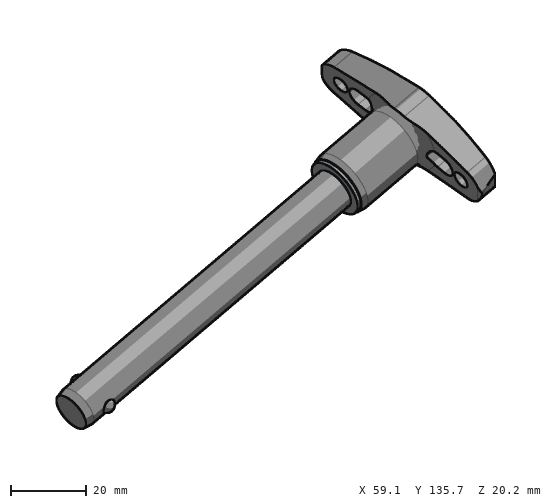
import cadquery as cq
import math

TOTAL_LENGTH = 135.7
GRIP_END_TO_BACK = 34.8
BACK_Y = GRIP_END_TO_BACK
TIP_Y = BACK_Y - TOTAL_LENGTH

HANDLE_LENGTH = 59.1
HANDLE_WIDTH = 20.16
END_RADIUS = 6.0
MIDDLE_RADIUS = 11.0
FLANK_ANGLE = math.radians(10)

CENTRE_THICKNESS = 9.1
BACK_LENGTHWISE_RADIUS = 132.0
BACK_CROSSWISE_RADIUS = 98.0
FRONT_HOLLOW_RADIUS = 650.0
END_TAPER_ANGLE = math.radians(7.5)
TIP_CORNER_RADIUS = 1.0
TIP_CORNER_OVERHANG = 0.16

HOLE_X = 22.2
HOLE_DIAMETER = 4.9
SLOT_X = 14.65
SLOT_LENGTH = 8.9
SLOT_WIDTH = 6.2

GRIP_RADIUS = 9.2
FLARE_RADIUS = 3.3
COLLAR_RADIUS = 8.5
COLLAR_LENGTH = 1.2
TAPER_LENGTH = 2.0
TAPER_END_RADIUS = 8.8

SHANK_RADIUS = 6.0
TIP_RADIUS = 5.5
TIP_TAPER_LENGTH = 2.5
BALL_RADIUS = 2.3
BALL_REACH = 7.3
BALL_TO_TIP = 8.3

HALF_LENGTH = HANDLE_LENGTH / 2
HALF_WIDTH = HANDLE_WIDTH / 2
FRONT_Y = BACK_Y - CENTRE_THICKNESS
TAPER_TOP_Y = COLLAR_LENGTH + TAPER_LENGTH


def outline_prism(y_start, y_end):
    """Lozenge outline with rounded middle and ends, extruded along Y."""
    sine = math.sin(FLANK_ANGLE)
    cosine = math.cos(FLANK_ANGLE)
    middle_x = MIDDLE_RADIUS * sine
    middle_z = HALF_WIDTH - MIDDLE_RADIUS * (1 - cosine)
    end_x = HALF_LENGTH - END_RADIUS * (1 - sine)
    end_z = middle_z - (end_x - middle_x) * math.tan(FLANK_ANGLE)
    outline = (
        cq.Workplane("XZ", origin=(0, y_end, 0))
        .moveTo(-middle_x, middle_z)
        .threePointArc((0, HALF_WIDTH), (middle_x, middle_z))
        .lineTo(end_x, end_z)
        .threePointArc((HALF_LENGTH, 0), (end_x, -end_z))
        .lineTo(middle_x, -middle_z)
        .threePointArc((0, -HALF_WIDTH), (-middle_x, -middle_z))
        .lineTo(-end_x, -end_z)
        .threePointArc((-HALF_LENGTH, 0), (-end_x, end_z))
        .close()
    )
    return outline.extrude(y_end - y_start)


def arc_drop(radius, x):
    """Distance an arc of the given radius falls away from its middle at x."""
    return radius - math.sqrt(radius**2 - x**2)


def thickness_slab():
    """Block with a slightly hollow front and leaning ends, extruded along Z."""
    front_x = HALF_LENGTH + TIP_CORNER_OVERHANG
    front_end_y = FRONT_Y - arc_drop(FRONT_HOLLOW_RADIUS, front_x)
    back_x = front_x - (BACK_Y - front_end_y) * math.tan(END_TAPER_ANGLE)
    block = (
        cq.Workplane("XY")
        .moveTo(-front_x, front_end_y)
        .threePointArc((0, FRONT_Y), (front_x, front_end_y))
        .lineTo(back_x, BACK_Y)
        .lineTo(-back_x, BACK_Y)
        .close()
        .extrude(HANDLE_WIDTH, both=True)
    )
    return block.edges("|Z and <Y").fillet(TIP_CORNER_RADIUS)


def back_crown():
    """Barrel-shaped solid whose +Y side is the doubly curved back of the handle."""
    axis_y = BACK_Y - BACK_CROSSWISE_RADIUS
    end_y = BACK_Y - arc_drop(BACK_LENGTHWISE_RADIUS, HANDLE_LENGTH)
    return (
        cq.Workplane("XY")
        .moveTo(-HANDLE_LENGTH, axis_y)
        .lineTo(-HANDLE_LENGTH, end_y)
        .threePointArc((0, BACK_Y), (HANDLE_LENGTH, end_y))
        .lineTo(HANDLE_LENGTH, axis_y)
        .close()
        .revolve(360, (0, axis_y, 0), (1, axis_y, 0))
    )


def handle_and_grip():
    """T-handle with its crowned back, the grip barrel and the concave flare between them."""
    barrel = cq.Workplane("XZ", origin=(0, FRONT_Y, 0)).circle(GRIP_RADIUS).extrude(FRONT_Y - TAPER_TOP_Y)
    search_reach = FLARE_RADIUS / 2
    flare_edge = cq.selectors.BoxSelector(
        (-HALF_WIDTH, FRONT_Y - search_reach, -HALF_WIDTH),
        (HALF_WIDTH, FRONT_Y + search_reach, HALF_WIDTH),
    )
    flared = thickness_slab().union(barrel).edges(flare_edge).fillet(FLARE_RADIUS)
    return flared.intersect(outline_prism(TAPER_TOP_Y, BACK_Y)).intersect(back_crown())


def collar_and_shank():
    """Shank with its tapered tip, the collar and the tapered end of the grip."""
    return (
        cq.Workplane("XY")
        .moveTo(0, TIP_Y)
        .lineTo(TIP_RADIUS, TIP_Y)
        .lineTo(SHANK_RADIUS, TIP_Y + TIP_TAPER_LENGTH)
        .lineTo(SHANK_RADIUS, 0)
        .lineTo(COLLAR_RADIUS, 0)
        .lineTo(COLLAR_RADIUS, COLLAR_LENGTH)
        .lineTo(TAPER_END_RADIUS, COLLAR_LENGTH)
        .lineTo(GRIP_RADIUS, TAPER_TOP_Y)
        .lineTo(0, TAPER_TOP_Y)
        .close()
        .revolve(360, (0, 0, 0), (0, 1, 0))
    )


def handle_openings():
    """Round hole and slot on each side, running along Y through the handle."""
    depth = BACK_Y - TAPER_TOP_Y
    plane = cq.Workplane("XZ", origin=(0, BACK_Y, 0))
    holes = plane.pushPoints([(-HOLE_X, 0), (HOLE_X, 0)]).circle(HOLE_DIAMETER / 2).extrude(depth)
    slots = plane.pushPoints([(-SLOT_X, 0), (SLOT_X, 0)]).slot2D(SLOT_LENGTH, SLOT_WIDTH).extrude(depth)
    return holes.union(slots)


def locking_balls():
    ball_x = BALL_REACH - BALL_RADIUS
    return (
        cq.Workplane("XY", origin=(0, TIP_Y + BALL_TO_TIP, 0))
        .pushPoints([(-ball_x, 0), (ball_x, 0)])
        .sphere(BALL_RADIUS)
    )


result = (
    handle_and_grip()
    .union(collar_and_shank())
    .cut(handle_openings())
    .union(locking_balls())
)